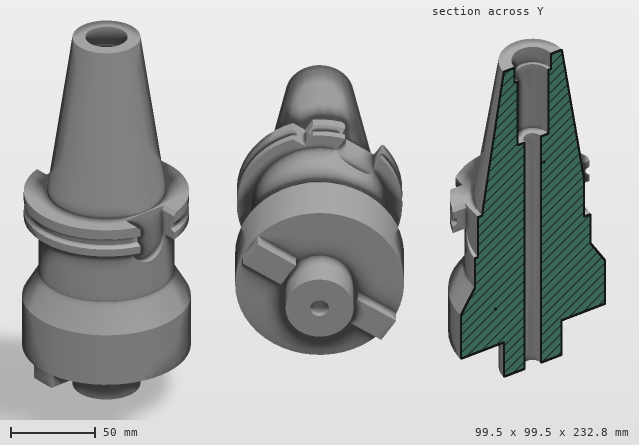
import cadquery as cq
import math


gauge_diameter = 69.85
taper_length = 101.75
taper_ratio = 7 / 24
small_end_diameter = gauge_diameter - taper_length * taper_ratio

flange_diameter = 97.5
flange_top_z = -1.5
flange_bottom_z = -19.1
groove_center_z = -11.1
groove_floor_diameter = 92.0
groove_floor_width = 3.5
groove_flank_angle = 30.0

neck_diameter = 80.0
body_diameter = 99.5
body_top_z = -71.5
cone_angle = 30.0
body_bottom_z = -104.75

overall_length = 232.75
pilot_diameter = 40.0
pilot_bottom_z = taper_length - overall_length

slot_width = 25.7
slot_floor_minus_x = 37.7
slot_floor_plus_x = 35.5
slot_arc_center_z = flange_bottom_z
slot_chamfer = 2.0

notch_wall_distance = 30.0

lug_width = 16.0
lug_height = 9.0
lug_inner_y = 22.0
lug_outer_y = 48.75

counterbore_diameter = 25.0
counterbore_depth = 11.5
thread_diameter = 21.0
thread_end_depth = 60.0
through_diameter = 11.0


def revolved_blank():
    """Solid of revolution: taper, grooved flange, neck, cone, body and pilot."""
    flange_radius = flange_diameter / 2
    groove_radius = groove_floor_diameter / 2
    half_floor = groove_floor_width / 2
    groove_depth = flange_radius - groove_radius
    half_opening = half_floor + groove_depth * math.tan(math.radians(groove_flank_angle))
    neck_radius = neck_diameter / 2
    body_radius = body_diameter / 2
    cone_height = (body_radius - neck_radius) / math.tan(math.radians(cone_angle))
    outline = [
        (0, taper_length),
        (small_end_diameter / 2, taper_length),
        (gauge_diameter / 2, 0),
        (gauge_diameter / 2, flange_top_z),
        (flange_radius, flange_top_z),
        (flange_radius, groove_center_z + half_opening),
        (groove_radius, groove_center_z + half_floor),
        (groove_radius, groove_center_z - half_floor),
        (flange_radius, groove_center_z - half_opening),
        (flange_radius, flange_bottom_z),
        (neck_radius, flange_bottom_z),
        (neck_radius, body_top_z + cone_height),
        (body_radius, body_top_z),
        (body_radius, body_bottom_z),
        (pilot_diameter / 2, body_bottom_z),
        (pilot_diameter / 2, pilot_bottom_z),
        (0, pilot_bottom_z),
    ]
    return cq.Workplane("XZ").polyline(outline).close().revolve(360, (0, 0), (0, 1))


def drive_slot(floor_distance, side):
    """Round-ended slot cutter with a flared mouth; side is +1 for +X, -1 for -X."""
    half_width = slot_width / 2
    half_mouth = half_width + slot_chamfer
    length = flange_diameter / 2 - floor_distance
    profile = (
        cq.Workplane("YZ", origin=(side * floor_distance, 0, 0))
        .moveTo(-half_mouth, flange_top_z)
        .lineTo(-half_width, flange_top_z - slot_chamfer)
        .lineTo(-half_width, slot_arc_center_z)
        .threePointArc((0, slot_arc_center_z - half_width), (half_width, slot_arc_center_z))
        .lineTo(half_width, flange_top_z - slot_chamfer)
        .lineTo(half_mouth, flange_top_z)
        .close()
    )
    return profile.extrude(side * length)


def orientation_notch():
    """Square-cornered cutter that removes the flange rim over its full height."""
    size = flange_diameter / 2 - notch_wall_distance
    return (
        cq.Workplane("XY", origin=(-notch_wall_distance, notch_wall_distance, flange_bottom_z))
        .rect(-size, size, centered=False)
        .extrude(flange_top_z - flange_bottom_z)
    )


def drive_lug(side):
    """Rectangular key below the body face; side is +1 for +Y, -1 for -Y."""
    lug_length = lug_outer_y - lug_inner_y
    lug_center_y = side * (lug_inner_y + lug_outer_y) / 2
    return (
        cq.Workplane("XY", origin=(0, lug_center_y, body_bottom_z))
        .rect(lug_width, lug_length)
        .extrude(-lug_height)
    )


def bore_step(diameter, depth):
    """Cylinder cutter that runs down from the small end of the taper."""
    return cq.Workplane("XY", origin=(0, 0, taper_length)).circle(diameter / 2).extrude(-depth)


result = revolved_blank()
for lug_side in (1, -1):
    result = result.union(drive_lug(lug_side))
result = result.cut(drive_slot(slot_floor_plus_x, 1))
result = result.cut(drive_slot(slot_floor_minus_x, -1))
result = result.cut(orientation_notch())
result = result.cut(bore_step(counterbore_diameter, counterbore_depth))
result = result.cut(bore_step(thread_diameter, thread_end_depth))
result = result.cut(bore_step(through_diameter, overall_length))